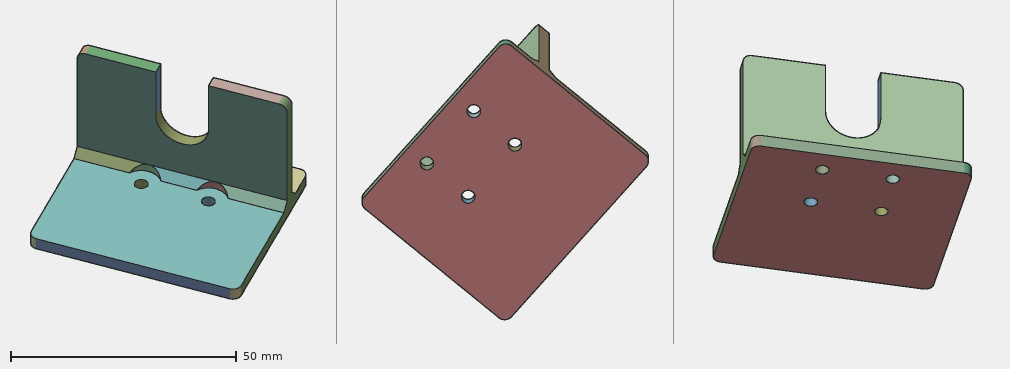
import cadquery as cq

width = 50
depth = 43
thickness = 3
corner_radius = 2

height = 33
wall_setback = 11.5
wall_center_y = depth / 2 - wall_setback
chamfer_leg = 2

slot_width = 12.5
slot_center_z = 20

hole_diameter = 3
hole_spacing_x = 16
hole_spacing_y = 12
head_radius = (hole_spacing_y - thickness) / 2


def make_base():
    plate = cq.Workplane("XY").box(width, depth, thickness, centered=(True, True, False))
    return plate.edges("|Z").fillet(corner_radius)


def make_wall():
    wall = (
        cq.Workplane("XY")
        .center(0, wall_center_y)
        .box(width, thickness, height, centered=(True, True, False))
        .edges("|Y and >Z")
        .fillet(corner_radius)
    )
    slot_radius = slot_width / 2
    slot = (
        cq.Workplane("XZ")
        .moveTo(-slot_radius, height)
        .lineTo(-slot_radius, slot_center_z)
        .threePointArc((0, slot_center_z - slot_radius), (slot_radius, slot_center_z))
        .lineTo(slot_radius, height)
        .close()
        .extrude(depth, both=True)
    )
    return wall.cut(slot)


def make_gusset():
    """Sloped strips along both feet of the wall, as one trapezoid."""
    top_half = thickness / 2
    foot_half = top_half + chamfer_leg
    return (
        cq.Workplane("YZ")
        .polyline([
            (wall_center_y - foot_half, thickness),
            (wall_center_y + foot_half, thickness),
            (wall_center_y + top_half, thickness + chamfer_leg),
            (wall_center_y - top_half, thickness + chamfer_leg),
        ])
        .close()
        .extrude(width / 2, both=True)
    )


def hole_pattern(base_z):
    return (
        cq.Workplane("XY", origin=(0, wall_center_y, base_z))
        .rarray(hole_spacing_x, hole_spacing_y, 2, 2)
    )


screw_holes = hole_pattern(0).circle(hole_diameter / 2).extrude(thickness)
head_clearances = hole_pattern(thickness).circle(head_radius).extrude(chamfer_leg)

result = (
    make_base()
    .union(make_gusset())
    .cut(head_clearances)
    .union(make_wall())
    .cut(screw_holes)
)